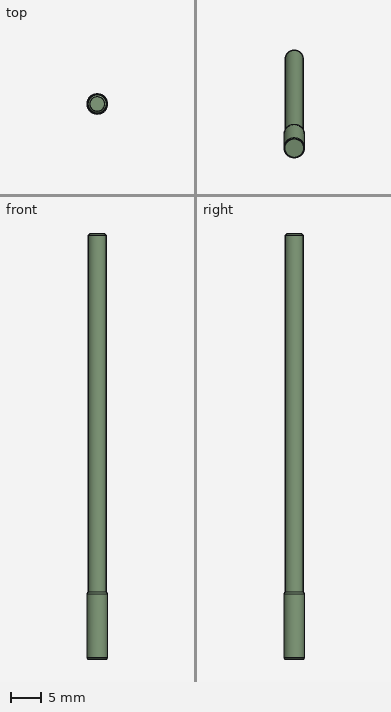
import cadquery as cq
import math

total_length = 70.0
shank_diameter = 3.0
head_diameter = 3.39
shoulder_start = 10.75

head_slope_angle = math.radians(30)
head_foot_chamfer_width = 0.15
shank_end_chamfer = 0.3

shank_radius = shank_diameter / 2
head_radius = head_diameter / 2
head_foot_chamfer_height = head_foot_chamfer_width / math.tan(head_slope_angle)
shoulder_height = (head_radius - shank_radius) / math.tan(head_slope_angle)

bottom_z = -total_length / 2
top_z = total_length / 2
shoulder_z = bottom_z + shoulder_start
joint_z = shoulder_z + shoulder_height


def revolve_profile(points):
    """Turn a closed (radius, z) half-profile about the Z axis."""
    return cq.Workplane("XZ").polyline(points).close().revolve(360, (0, 0, 0), (0, 1, 0))


def make_head():
    """Thick lower cylinder: chamfered foot, and a conical shoulder narrowing to the shank."""
    return revolve_profile([
        (0, bottom_z),
        (head_radius - head_foot_chamfer_width, bottom_z),
        (head_radius, bottom_z + head_foot_chamfer_height),
        (head_radius, shoulder_z),
        (shank_radius, joint_z),
        (0, joint_z),
    ])


def make_shank():
    """Long plain cylinder standing on the head, with a chamfered upper end."""
    return revolve_profile([
        (0, joint_z),
        (shank_radius, joint_z),
        (shank_radius, top_z - shank_end_chamfer),
        (shank_radius - shank_end_chamfer, top_z),
        (0, top_z),
    ])


head = make_head()
shank = make_shank()

result = cq.Compound.makeCompound([head.val(), shank.val()])